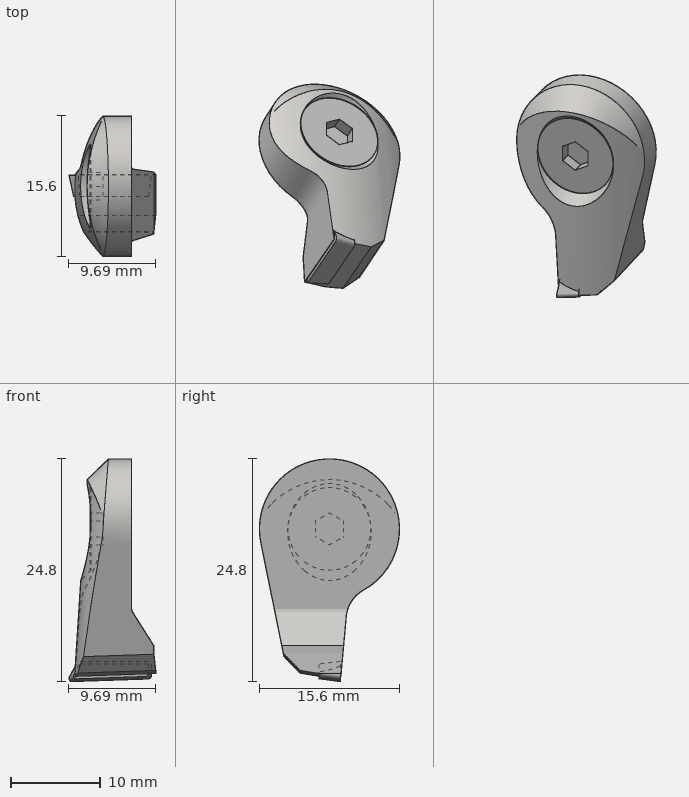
import cadquery as cq
import math


HEAD_RADIUS = 15.6 / 2
SIDE_ANGLE = 11.5
ARM_EDGE_TOP = (2.08, -7.51)
ARM_EDGE_LOW = (1.26, -16.62)
NECK_RADIUS = 3.72
STOCK_BOTTOM = -19.85

STOCK_FRONT = -9.92
HEEL_STEP = (0.1, -9.25)
HEEL_START_Z = -8.93
HEEL_TOP = (2.45, -12.97)
HEEL_BREAK = (2.48, -13.9)
HEEL_LOW = (2.7, -15.95)

CREST_X = -5.3
CROWN_RADIUS = 15.38
CROWN_TILT = 3.7
CROWN_LENGTH = 74.4

BEVEL_X = -3.22
BEVEL_CENTRE_Z = -0.112
BEVEL_RADIUS = HEAD_RADIUS
BEVEL_DEPTH = 4.95
BEVEL_ANGLE = 48
BEVEL_MARGIN = 7.45

END_TILT = 2
CORNER_HIGH = (-5.05, -14.0)
CORNER_LOW = (-3.27, -15.82)
END_LOW = (-1.17, -16.17)
TRIM_REACH = 14.88

SCREW_RADIUS = 9.2 / 2
SCREW_FACE_X = -4.65
SCREW_CLEARANCE = 0.12
POCKET_DEPTH = 2.48
HEX_ACROSS_FLATS = 3.08
HEX_DEPTH = 1.5

INSERT_FACE_Y = 1.25
INSERT_WIDTH = 2.4
INSERT_CLEARANCE_ANGLE = 7
INSERT_TOP_LEFT = (-5.95, -14.73)
INSERT_NOSE = (-7.27, -17.01)
INSERT_HEEL = (2.18, -16.7)
INSERT_TOP_RIGHT = (2.18, -14.73)
INSERT_CORNER_RADIUS = 0.37


def make_outline():
    """Head and arm outline, extruded through the full depth."""
    depth = HEEL_LOW[0] - STOCK_FRONT
    lean = math.radians(SIDE_ANGLE)
    tangent = (-HEAD_RADIUS * math.cos(lean), -HEAD_RADIUS * math.sin(lean))
    side_low_y = tangent[0] + (tangent[1] - STOCK_BOTTOM) * math.tan(lean)
    edge_slope = (ARM_EDGE_TOP[0] - ARM_EDGE_LOW[0]) / (ARM_EDGE_TOP[1] - ARM_EDGE_LOW[1])
    edge_low_y = ARM_EDGE_TOP[0] + (STOCK_BOTTOM - ARM_EDGE_TOP[1]) * edge_slope
    edge_inside_y = ARM_EDGE_TOP[0] - ARM_EDGE_TOP[1] * edge_slope

    plane = cq.Workplane("YZ", origin=(STOCK_FRONT, 0, 0))
    head = plane.circle(HEAD_RADIUS).extrude(depth)
    arm = (
        plane.moveTo(0, 0)
        .lineTo(*tangent)
        .lineTo(side_low_y, STOCK_BOTTOM)
        .lineTo(edge_low_y, STOCK_BOTTOM)
        .lineTo(edge_inside_y, 0)
        .close()
        .extrude(depth)
    )
    neck = cq.selectors.NearestToPointSelector((STOCK_FRONT + depth / 2, *ARM_EDGE_TOP))
    return head.union(arm).edges("|X").edges(neck).fillet(NECK_RADIUS)


def make_depth_profile():
    """Flat back of the head with the heel behind the lower arm."""
    return (
        cq.Workplane("XZ")
        .moveTo(STOCK_FRONT, HEAD_RADIUS)
        .lineTo(0, HEAD_RADIUS)
        .lineTo(0, HEEL_START_Z)
        .lineTo(*HEEL_STEP)
        .lineTo(*HEEL_TOP)
        .lineTo(*HEEL_BREAK)
        .lineTo(*HEEL_LOW)
        .lineTo(HEEL_LOW[0], STOCK_BOTTOM)
        .lineTo(STOCK_FRONT, STOCK_BOTTOM)
        .close()
        .extrude(HEAD_RADIUS * 2, both=True)
    )


def make_crown():
    """Large cylinder that bounds the crowned front surface."""
    return (
        cq.Workplane("XY", origin=(CREST_X + CROWN_RADIUS, 0, -CROWN_LENGTH / 2))
        .circle(CROWN_RADIUS)
        .extrude(CROWN_LENGTH)
        .rotate((CREST_X, 0, 0), (CREST_X, 1, 0), CROWN_TILT)
    )


def make_bevel_cutter():
    """Half ring with a conical inside, on the upper half only."""
    flare = BEVEL_DEPTH * math.tan(math.radians(BEVEL_ANGLE))
    outer = BEVEL_RADIUS + BEVEL_MARGIN
    return (
        cq.Workplane("XY")
        .moveTo(-BEVEL_DEPTH, BEVEL_RADIUS - flare)
        .lineTo(BEVEL_DEPTH, BEVEL_RADIUS + flare)
        .lineTo(BEVEL_DEPTH, outer)
        .lineTo(-BEVEL_DEPTH, outer)
        .close()
        .revolve(180, (0, 0), (1, 0))
        .rotate((0, 0, 0), (0, 1, 0), CROWN_TILT)
        .translate((BEVEL_X, 0, BEVEL_CENTRE_Z))
    )


def make_end_trim():
    """Tilted prism that shapes the lower end of the arm."""
    return (
        cq.Workplane("YZ", origin=(-TRIM_REACH, 0, 0))
        .moveTo(-TRIM_REACH, TRIM_REACH)
        .lineTo(-TRIM_REACH, CORNER_HIGH[1])
        .lineTo(*CORNER_HIGH)
        .lineTo(*CORNER_LOW)
        .lineTo(*END_LOW)
        .lineTo(TRIM_REACH, END_LOW[1])
        .lineTo(TRIM_REACH, TRIM_REACH)
        .close()
        .extrude(TRIM_REACH * 2)
        .rotate((0, 0, 0), (0, 1, 0), -END_TILT)
    )


def make_screw_pocket():
    """45 degree conical pocket that leaves a narrow gap around the screw head."""
    floor_x = SCREW_FACE_X + SCREW_CLEARANCE
    return (
        cq.Workplane("XY")
        .moveTo(floor_x, 0)
        .lineTo(floor_x, SCREW_RADIUS)
        .lineTo(floor_x - POCKET_DEPTH, SCREW_RADIUS + POCKET_DEPTH)
        .lineTo(floor_x - POCKET_DEPTH, 0)
        .close()
        .revolve(360, (0, 0), (1, 0))
    )


def add_screw_head(holder):
    """Flat round screw head with a blind hexagon socket, one corner up."""
    face = cq.Workplane("YZ", origin=(SCREW_FACE_X, 0, 0))
    head = face.circle(SCREW_RADIUS).extrude(HEX_DEPTH)
    hex_diameter = HEX_ACROSS_FLATS / math.cos(math.radians(30))
    socket = (
        face.polygon(6, hex_diameter)
        .extrude(HEX_DEPTH)
        .rotate((0, 0, 0), (1, 0, 0), 90)
    )
    return holder.cut(make_screw_pocket()).union(head).cut(socket)


def make_insert():
    """Cutting insert with relief on every side behind its +Y cutting face."""
    insert = (
        cq.Workplane("XZ", origin=(0, INSERT_FACE_Y, 0))
        .polyline([INSERT_TOP_LEFT, INSERT_NOSE, INSERT_HEEL, INSERT_TOP_RIGHT])
        .close()
        .extrude(INSERT_WIDTH, taper=INSERT_CLEARANCE_ANGLE)
    )
    middle_y = INSERT_FACE_Y - INSERT_WIDTH / 2
    for corner_x, corner_z in (INSERT_NOSE, INSERT_HEEL):
        corner = cq.selectors.NearestToPointSelector((corner_x, middle_y, corner_z))
        insert = insert.edges(corner).fillet(INSERT_CORNER_RADIUS)
    return insert


def make_holder(insert):
    """Holder with its screw head and the seat for the insert."""
    holder = make_outline().intersect(make_depth_profile())
    holder = holder.intersect(make_crown())
    holder = holder.cut(make_bevel_cutter())
    holder = holder.intersect(make_end_trim())
    holder = add_screw_head(holder)
    return holder.cut(insert)


insert = make_insert()
holder = make_holder(insert)
result = cq.Compound.makeCompound([*holder.solids().vals(), *insert.solids().vals()])